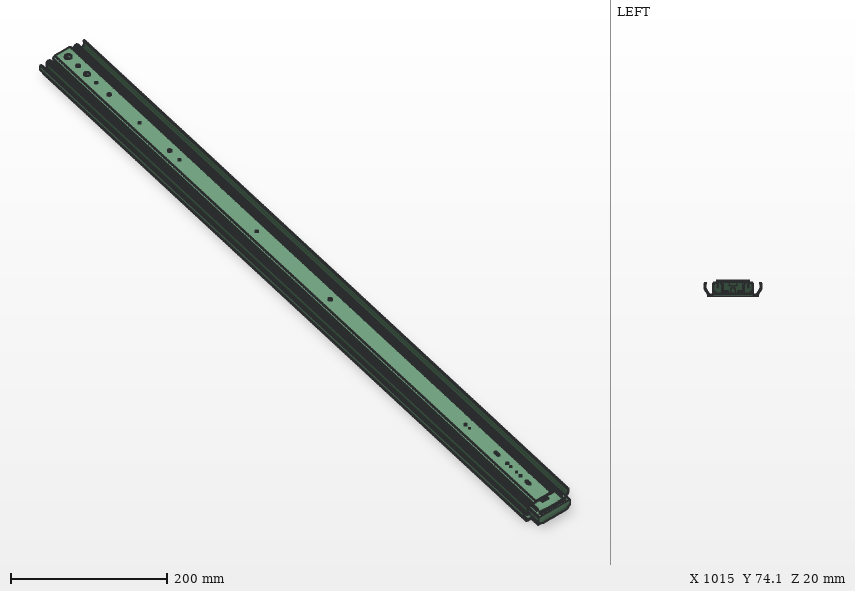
import cadquery as cq
import math


total_length = 1015.0
outer_length = 998.0
inner_length = 992.0
tongue_end = 1012.0

outer_half_width = 74.0 / 2
outer_base_half_width = 64.0 / 2
outer_base = 2.5
outer_wall = 2.0
race_bottom = 7.6
race_middle = 12.0
race_top = 17.0
race_bottom_half_width = 71.0 / 2
race_top_half_width = 72.0 / 2
tongue_width = 49.0

middle_half_width = 52.0 / 2
middle_wall = 1.2
middle_bottom = outer_base
middle_top = middle_bottom + 15.0
middle_bevel = 2.0
lip_inner_half_width = 38.0 / 2
lip_depth = 7.0

inner_top = 20.0
inner_wall = 2.0
inner_half_width = 31.0 / 2
inner_bevel = 3.6
inner_leg_half_width = 14.0
inner_bottom = 5.0
inner_opening_half_width = 6.0

round_holes = [
    (9.4, [12.0]),
    (8.0, [51.0]),
    (5.2, [32.0, 96.0, 221.0, 552.0]),
    (3.5, [70.0, 159.0, 242.0, 401.0, 831.0, 918.0, 945.0]),
    (2.0, [839.0, 925.0, 937.0]),
]
slot_places = [896.0, 960.0]
slot_length = 9.0
slot_width = 3.5

cap_half_width = middle_half_width
cap_bottom = outer_base
cap_shoulder = middle_top
cap_shoulder_bevel = 1.4
cap_slope_top = 8.6
cap_slope = cap_slope_top - cap_bottom
raised_half_width = 42.0 / 2
raised_height = inner_top - cap_shoulder
rib_width = 2.0
rib_end = 1005.0
rim_end = tongue_end
rim_side_start = rim_end - 2.5
rim_middle_start = rim_end - 1.0
notch_length = 5.0
notch_width = 10.0
notch_depth = 4.0
relief_width = 6.0
relief_top = 11.0
relief_depth = 3.0


def mirrored(points):
    """Points of a right-hand half outline, mirrored and in reverse order."""
    return [(-y, z) for y, z in reversed(points)]


def extruded_along_x(outline, start, end):
    """Closed outline in Y and Z, extruded from one X place to another."""
    return outline.close().extrude(end - start).translate((start, 0, 0))


def make_outer_rail():
    outline = (
        cq.Workplane("YZ")
        .moveTo(-outer_base_half_width, 0)
        .lineTo(outer_base_half_width, 0)
        .lineTo(outer_base_half_width, outer_base)
        .lineTo(race_bottom_half_width, race_bottom)
        .threePointArc((outer_half_width, race_middle), (race_top_half_width, race_top))
        .lineTo(race_top_half_width - outer_wall, race_top)
        .threePointArc(
            (outer_half_width - outer_wall, race_middle),
            (race_bottom_half_width - outer_wall, race_bottom),
        )
        .lineTo(outer_base_half_width - outer_wall, outer_base)
        .lineTo(-outer_base_half_width + outer_wall, outer_base)
        .lineTo(-race_bottom_half_width + outer_wall, race_bottom)
        .threePointArc(
            (-outer_half_width + outer_wall, race_middle),
            (-race_top_half_width + outer_wall, race_top),
        )
        .lineTo(-race_top_half_width, race_top)
        .threePointArc((-outer_half_width, race_middle), (-race_bottom_half_width, race_bottom))
        .lineTo(-outer_base_half_width, outer_base)
    )
    rail = extruded_along_x(outline, 0, outer_length)
    tongue = cq.Workplane("XY").box(
        tongue_end, tongue_width, outer_base, centered=(False, True, False)
    )
    return rail.union(tongue)


def make_middle_rail():
    floor = middle_bottom + middle_wall
    lip_bottom = middle_top - lip_depth
    inside_drop = middle_wall * math.tan(math.pi / 8)
    right_half = [
        (middle_half_width, middle_bottom),
        (middle_half_width, middle_top - middle_bevel),
        (middle_half_width - middle_bevel, middle_top),
        (lip_inner_half_width + middle_bevel, middle_top),
        (lip_inner_half_width, middle_top - middle_bevel),
        (lip_inner_half_width, lip_bottom),
        (lip_inner_half_width + middle_wall, lip_bottom),
        (lip_inner_half_width + middle_wall, middle_top - middle_bevel - inside_drop),
        (lip_inner_half_width + middle_bevel + inside_drop, middle_top - middle_wall),
        (middle_half_width - middle_bevel - inside_drop, middle_top - middle_wall),
        (middle_half_width - middle_wall, middle_top - middle_bevel - inside_drop),
        (middle_half_width - middle_wall, floor),
    ]
    outline = cq.Workplane("YZ").polyline(right_half + mirrored(right_half))
    return extruded_along_x(outline, 0, inner_length)


def make_inner_rail():
    inside = inner_leg_half_width - inner_wall
    ceiling = inner_top - inner_wall
    edge_bottom = inner_top - inner_bevel
    right_half = [
        (inner_half_width - inner_bevel, inner_top),
        (inner_half_width, edge_bottom),
        (inner_leg_half_width, edge_bottom - (inner_half_width - inner_leg_half_width)),
        (inner_leg_half_width, inner_bottom),
        (inner_opening_half_width, inner_bottom),
        (inner_opening_half_width, inner_bottom + inner_wall),
        (inside, inner_bottom + inner_wall),
        (inside, ceiling),
    ]
    outline = cq.Workplane("YZ").polyline(right_half + mirrored(right_half))
    rail = extruded_along_x(outline, 0, inner_length)
    web = cq.Workplane("XY", origin=(0, 0, inner_top))
    for diameter, places in round_holes:
        centers = [(x, 0) for x in places]
        rail = rail.cut(web.pushPoints(centers).circle(diameter / 2).extrude(-inner_wall))
    slot_centers = [(x, 0) for x in slot_places]
    slots = web.pushPoints(slot_centers).slot2D(slot_length, slot_width).extrude(-inner_wall)
    return rail.cut(slots)


def make_end_cap():
    right_half = [
        (cap_half_width - cap_slope, cap_bottom),
        (cap_half_width, cap_slope_top),
        (cap_half_width, cap_shoulder - cap_shoulder_bevel),
        (cap_half_width - cap_shoulder_bevel, cap_shoulder),
    ]
    outline = cq.Workplane("YZ").polyline(right_half + mirrored(right_half))
    cap = extruded_along_x(outline, inner_length, total_length)
    top = cq.Workplane("XY", origin=(0, 0, cap_shoulder))

    rib_length = rib_end - inner_length
    rib_center = raised_half_width - rib_width / 2
    for y in (-rib_center, rib_center):
        rib = top.center(inner_length + rib_length / 2, y).rect(rib_length, rib_width)
        cap = cap.union(rib.extrude(raised_height))

    rim = (
        top.moveTo(rim_side_start, -raised_half_width)
        .lineTo(rim_end, -raised_half_width)
        .lineTo(rim_end, raised_half_width)
        .lineTo(rim_side_start, raised_half_width)
        .threePointArc((rim_middle_start, 0), (rim_side_start, -raised_half_width))
        .close()
        .extrude(raised_height)
    )
    cap = cap.union(rim)

    notch = top.center(inner_length + notch_length / 2, 0).rect(notch_length, notch_width)
    cap = cap.cut(notch.extrude(-notch_depth))

    relief_spring = relief_top - relief_width / 2
    relief = (
        cq.Workplane("YZ")
        .moveTo(-relief_width / 2, cap_bottom)
        .lineTo(relief_width / 2, cap_bottom)
        .lineTo(relief_width / 2, relief_spring)
        .threePointArc((0, relief_top), (-relief_width / 2, relief_spring))
    )
    return cap.cut(extruded_along_x(relief, inner_length, inner_length + relief_depth))


outer_rail = make_outer_rail()
middle_rail = make_middle_rail()
inner_rail = make_inner_rail()
end_cap = make_end_cap()

result = cq.Compound.makeCompound(
    [outer_rail.val(), middle_rail.val(), inner_rail.val(), end_cap.val()]
)